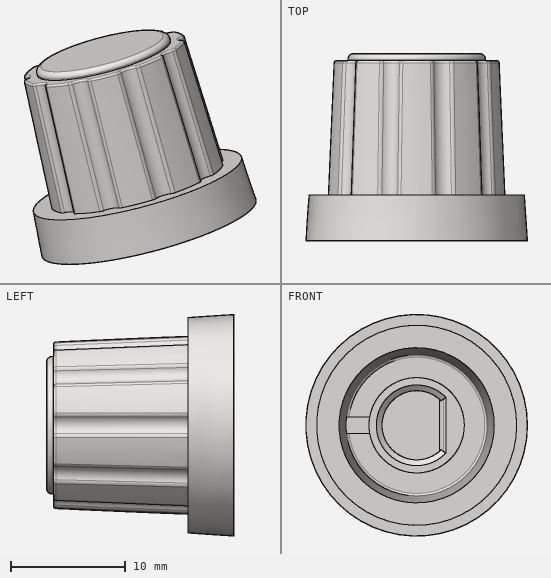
import cadquery as cq
import math


rim_radius = 9.65
flange_back_radius = 9.38
flange_length = 4.01
rim_bore_radius = 8.7
rim_bore_depth = 3.35

grip_base_radius = 7.75
grip_end_radius = 7.25
grip_end = 15.7
grip_edge_radius = 0.2
grip_length = grip_end - flange_length
grip_taper = math.degrees(math.atan((grip_base_radius - grip_end_radius) / grip_length))

flute_count = 10
flute_radius = 1.0
flute_depth = 0.5
flute_edge_radius = 0.4
flute_overrun = 0.96

cap_radius = 6.0
cap_end = 16.3
cap_edge_radius = 0.5
cap_root = 0.2

end_wall = 1.39
cavity_mouth_radius = 6.75
cavity_floor_radius = 6.14
cavity_floor = cap_end - end_wall
cavity_edge_radius = 0.21

boss_radius = 4.15
boss_face = 5.05

shaft_radius = 3.01
shaft_flat = 1.97
shaft_bottom = cavity_floor
mouth_radius = 3.51
mouth_depth = 0.42
flat_chamfer = 0.23
flat_mouth = 2.55
flat_blend_radius = 1.08

rib_width = 1.43
rib_height = cavity_edge_radius
rib_root = 0.29


def disc(radius, start, end, end_radius=None):
    """Cylinder or cone about the Y axis between two Y positions."""
    if end_radius is None:
        end_radius = radius
    profile = [(0, start), (radius, start), (end_radius, end), (0, end)]
    return cq.Workplane("XY").polyline(profile).close().revolve(360, (0, 0), (0, 1))


def make_grip():
    """Tapered grip with rounded flutes that follow the taper."""
    grip = disc(grip_base_radius, flange_length, grip_end, grip_end_radius)
    axis_offset = grip_base_radius - flute_depth + flute_radius
    cutter = (
        cq.Workplane("XZ", origin=(0, flange_length - flute_overrun, 0))
        .circle(flute_radius)
        .extrude(-(grip_length + 2 * flute_overrun))
        .rotate((0, flange_length, 0), (0, flange_length, 1), grip_taper)
        .translate((axis_offset, 0, 0))
    )
    for index in range(flute_count):
        grip = grip.cut(cutter.rotate((0, 0, 0), (0, 1, 0), index * 360 / flute_count))
    mid_length = cq.selectors.BoxSelector(
        (-rim_radius, flange_length + flute_overrun, -rim_radius),
        (rim_radius, grip_end - flute_overrun, rim_radius),
    )
    grip = grip.edges(mid_length).fillet(flute_edge_radius)
    return grip.faces(">Y").edges().fillet(grip_edge_radius)


def make_cavity():
    """Ring-shaped conical cavity around the boss, with a rounded floor edge."""
    cone = disc(cavity_mouth_radius, rim_bore_depth, cavity_floor, cavity_floor_radius)
    cone = cone.faces(">Y").edges().fillet(cavity_edge_radius)
    return cone.cut(disc(boss_radius, boss_face, cavity_floor))


def make_rib():
    """Flat rib on the -X side of the floor, rooted in both the boss and the wall."""
    inner_end = -(boss_radius - rib_root)
    outer_end = -(cavity_floor_radius + rib_root)
    return (
        cq.Workplane("XY")
        .box(inner_end - outer_end, rib_height, rib_width)
        .translate(((inner_end + outer_end) / 2, cavity_floor - rib_height / 2, 0))
    )


def make_shaft_hole():
    """Round hole with a flat on +X; its mouth widens along both the arc and the flat.

    The 45 degree chamfer on the flat blends tangentially into the flat itself.
    """
    round_hole = disc(shaft_radius, boss_face, shaft_bottom).union(
        disc(mouth_radius, boss_face, boss_face + mouth_depth, shaft_radius))
    blend_angle = math.pi / 4
    chamfer_end = (flat_mouth - flat_chamfer, boss_face + flat_chamfer)
    blend_rise = flat_blend_radius * math.sin(blend_angle)
    blend_middle = blend_angle / 2
    blend_mid_point = (
        shaft_flat + flat_blend_radius * (1 - math.cos(blend_middle)),
        chamfer_end[1] + blend_rise - flat_blend_radius * math.sin(blend_middle),
    )
    flat_side = (
        cq.Workplane("XY", origin=(0, 0, -mouth_radius))
        .moveTo(-mouth_radius, boss_face)
        .lineTo(flat_mouth, boss_face)
        .lineTo(*chamfer_end)
        .threePointArc(blend_mid_point, (shaft_flat, chamfer_end[1] + blend_rise))
        .lineTo(shaft_flat, shaft_bottom)
        .lineTo(-mouth_radius, shaft_bottom)
        .close()
        .extrude(2 * mouth_radius)
    )
    return round_hole.intersect(flat_side)


flange = disc(rim_radius, 0, flange_length, flange_back_radius)
cap = disc(cap_radius, grip_end - cap_root, cap_end).faces(">Y").edges().fillet(cap_edge_radius)

result = (
    flange.union(make_grip())
    .union(cap)
    .cut(disc(rim_bore_radius, 0, rim_bore_depth))
    .cut(make_cavity())
    .union(make_rib())
    .cut(make_shaft_hole())
)